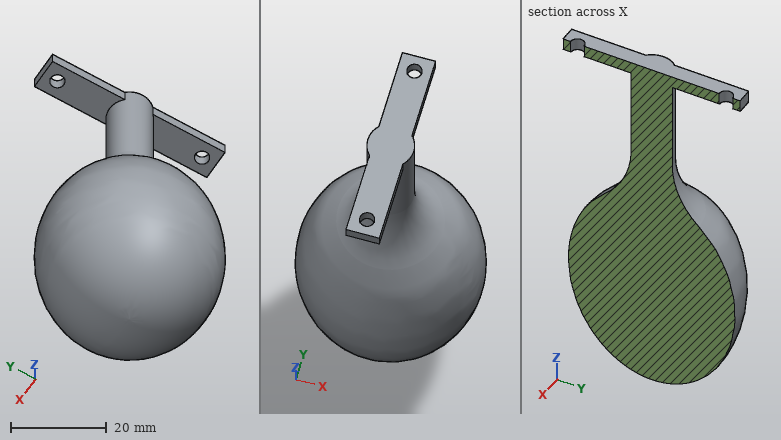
import cadquery as cq
import math

egg_radius = 20.02
egg_half_height = 25.0

neck_base_z = 45.5
stem_radius = 5.0
total_height = 83.2

bar_width = 7.25
bar_length = 42.4
bar_thickness = 2.9
hole_diameter = 3.2
hole_spacing = 35.55

neck_base_rise = neck_base_z - egg_half_height
neck_base_radius = egg_radius * math.sqrt(1 - (neck_base_rise / egg_half_height) ** 2)
normal_angle = math.atan2(neck_base_rise / egg_half_height**2, neck_base_radius / egg_radius**2)

neck_arc_radius = (neck_base_radius - stem_radius) / (1 - math.cos(normal_angle))
neck_top_z = neck_base_z + neck_arc_radius * math.sin(normal_angle)


def make_egg():
    return (
        cq.Workplane("XZ")
        .center(0, egg_half_height)
        .ellipseArc(egg_radius, egg_half_height, -90, 90, startAtCurrent=False)
        .close()
        .revolve(360, (0, 0), (0, 1))
    )


def make_neck_and_stem():
    mid_angle = normal_angle / 2
    arc_middle = (
        stem_radius + neck_arc_radius * (1 - math.cos(mid_angle)),
        neck_top_z - neck_arc_radius * math.sin(mid_angle),
    )
    return (
        cq.Workplane("XZ")
        .moveTo(0, egg_half_height)
        .lineTo(neck_base_radius, neck_base_z)
        .threePointArc(arc_middle, (stem_radius, neck_top_z))
        .lineTo(stem_radius, total_height)
        .lineTo(0, total_height)
        .close()
        .revolve(360, (0, 0), (0, 1))
    )


def make_bar():
    return (
        cq.Workplane("XY")
        .workplane(offset=total_height - bar_thickness)
        .rect(bar_width, bar_length)
        .extrude(bar_thickness)
        .faces(">Z")
        .workplane()
        .pushPoints([(0, side * hole_spacing / 2) for side in (-1, 1)])
        .hole(hole_diameter)
    )


result = make_egg().union(make_neck_and_stem()).union(make_bar())